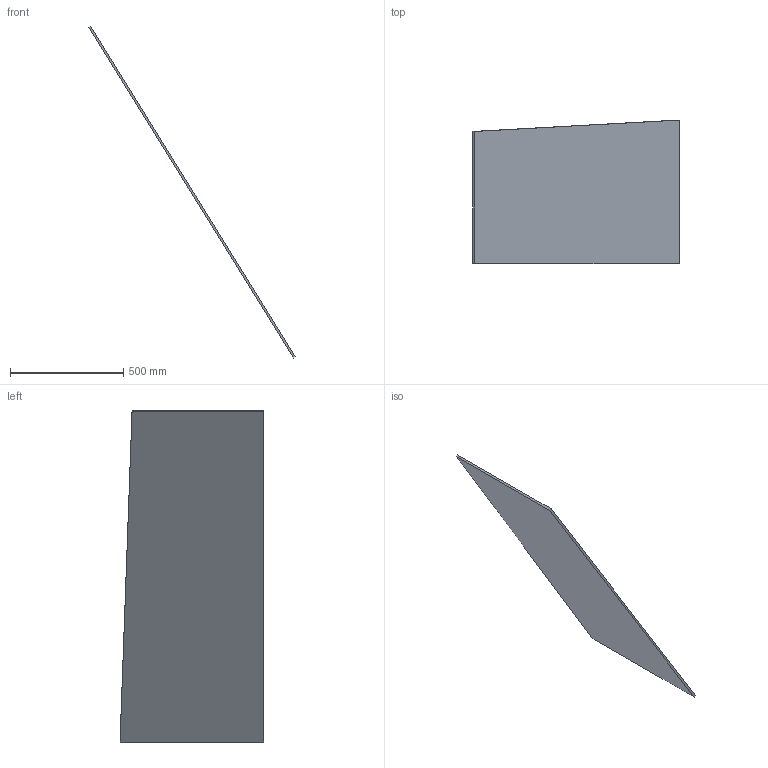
import cadquery as cq

plate_length = 1716.234
bottom_width = 635.03
top_width = 582.0
thickness = 10.0
tilt = 31.7177


def flat_plate():
    """Upright plate in the YZ plane: square along Y = 0, tapered on the +Y side."""
    outline = [
        (0, 0),
        (bottom_width, 0),
        (top_width, plate_length),
        (0, plate_length),
    ]
    return cq.Workplane("YZ").polyline(outline).close().extrude(thickness)


def lean(plate):
    """Tilt the upright plate about the Y axis so its upper end moves towards -X."""
    return plate.rotate((0, 0, 0), (0, 1, 0), -tilt)


result = lean(flat_plate())